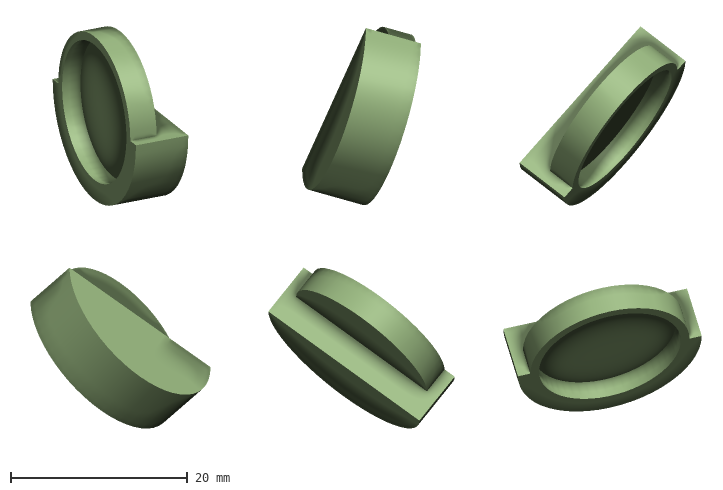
import cadquery as cq

base_radius = 10.75
ring_radius = 9.3
pocket_diameter = 16.6
base_depth = 6.6
ring_depth = base_depth / 2
pocket_depth = 2.3


def front_disc(radius, depth):
    """Disc about the Y axis, from the front plane back to the given depth."""
    return cq.Workplane("XZ").circle(radius).extrude(-depth)


def half_round_base():
    """Lower half of the large disc, flat on top at the axis height."""
    lower_half = cq.Workplane("XY").box(
        2 * base_radius, base_depth, base_radius, centered=(True, False, False)
    ).translate((0, 0, -base_radius))
    return front_disc(base_radius, base_depth).intersect(lower_half)


body = half_round_base().union(front_disc(ring_radius, ring_depth))

result = body.cut(front_disc(pocket_diameter / 2, pocket_depth))